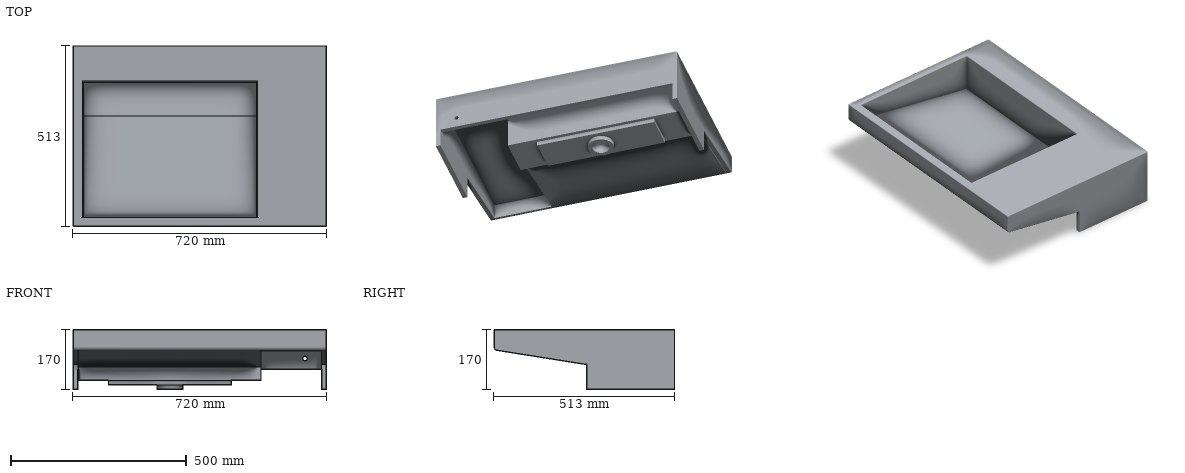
import cadquery as cq
import math


width = 720.0
depth = 513.0
height = 170.0

panel_thickness = 14.0
lip_thickness = 15.0
leg_depth = 250.0
notch_height = 99.0
lip_height = 57.5
lip_radius = 10.0
edge_radius = 2.0
apron_height = 113.0

mount_hole_diameter = 12.0
mount_hole_x = 659.0
mount_hole_z = -82.0

bowl_left = 16.0
bowl_width = 518.5
bowl_wall = 10.0
bowl_back = -90.0
bowl_floor_thickness = 9.0
bowl_floor_radius = 3.0
trough_front_height = 106.0
trough_height = 144.0

pad_width = 349.0
pad_setback = 10.0
pad_thickness = 13.0
spigot_diameter = 74.0
bore_diameter = 50.0

plate_thickness = 3.0
plate_gap = 3.5

slope = (notch_height - lip_height) / (depth - leg_depth)
slope_stretch = math.hypot(1, slope)
bowl_front = lip_thickness - depth
trough_front = -leg_depth + (trough_front_height - notch_height) / slope
pocket_left = bowl_left + bowl_wall
pocket_width = bowl_width - 2 * bowl_wall
pocket_front = bowl_front + bowl_wall
pocket_back = bowl_back - bowl_wall
drain_x = bowl_left + bowl_width / 2
drain_y = (trough_front + bowl_back) / 2
trough_depth = bowl_back - trough_front


def slanted_z(y, offset=0.0):
    """Height at y of a plane lying `offset` above the slanted underside, measured square to it."""
    return -lip_height - slope * (y + depth) + offset * slope_stretch


def extrude_along_x(points, start, length):
    """Solid with a (Y, Z) outline, running from x = start to x = start + length."""
    return cq.Workplane("YZ", origin=(start, 0, 0)).polyline(points).close().extrude(length)


def box(left, front, bottom, size_x, size_y, size_z):
    corner = (left, front, bottom)
    return cq.Workplane("XY", origin=corner).box(size_x, size_y, size_z, centered=False)


def fillet_edges_near(body, points, radius):
    """Round the edge of `body` that lies nearest to each point."""
    edges = [body.edges(cq.selectors.NearestToPointSelector(point)).val() for point in points]
    return body.newObject(edges).fillet(radius)


def make_casing():
    outline = [
        (0, 0),
        (-depth, 0),
        (-depth, -lip_height),
        (-leg_depth, -notch_height),
        (-leg_depth, -height),
        (0, -height),
    ]
    casing = extrude_along_x(outline, 0, width)
    casing = fillet_edges_near(casing, [(width / 2, -depth, -lip_height)], lip_radius)

    soft_points = [(width / 2, -depth, 0)]
    arc_inset = lip_radius / 3
    for x in (0, width):
        soft_points.append((x, -depth / 2, 0))
        soft_points.append((x, -depth, -lip_height / 2))
        soft_points.append((x, -depth + arc_inset, -lip_height + arc_inset))
        soft_points.append((x, -(depth + leg_depth) / 2, -(lip_height + notch_height) / 2))
    casing = fillet_edges_near(casing, soft_points, edge_radius)

    inner_width = width - 2 * panel_thickness
    hollow = box(
        panel_thickness,
        bowl_front,
        -height,
        inner_width,
        depth - lip_thickness - panel_thickness,
        height - panel_thickness,
    )
    below_apron = box(
        panel_thickness, -panel_thickness, -height, inner_width, panel_thickness, height - apron_height
    )
    return casing.cut(hollow).cut(below_apron)


def make_bowl_block():
    outline = [
        (bowl_front, -panel_thickness),
        (bowl_front, slanted_z(bowl_front)),
        (trough_front, -trough_front_height),
        (trough_front, -trough_height),
        (bowl_back, -trough_height),
        (bowl_back, -panel_thickness),
    ]
    return extrude_along_x(outline, bowl_left, bowl_width)


def make_pocket():
    """Space inside the bowl: a slanted floor that drops into the trough at the rear.

    The sides of the floor and the upright rear corners are rounded.
    """
    trough_inner_front = trough_front + bowl_wall
    trough_inner_bottom = -trough_height + bowl_wall
    outline = [
        (pocket_front, 0),
        (pocket_front, slanted_z(pocket_front, bowl_floor_thickness)),
        (trough_inner_front, slanted_z(trough_inner_front, bowl_floor_thickness)),
        (trough_inner_front, trough_inner_bottom),
        (pocket_back, trough_inner_bottom),
        (pocket_back, 0),
    ]
    pocket = extrude_along_x(outline, pocket_left, pocket_width)

    floor_y = (pocket_front + trough_inner_front) / 2
    floor_z = slanted_z(floor_y, bowl_floor_thickness)
    sides = (pocket_left, pocket_left + pocket_width)
    floor_points = [(x, floor_y, floor_z) for x in sides]
    upright_points = [(x, pocket_back, trough_inner_bottom / 2) for x in sides]
    pocket = fillet_edges_near(pocket, floor_points, bowl_floor_radius)
    return fillet_edges_near(pocket, upright_points, edge_radius)


def round_pocket_rim(basin):
    """Round the left, right and rear edges of the pocket mouth."""
    middle_y = (pocket_front + pocket_back) / 2
    rim_points = [
        (pocket_left, middle_y, 0),
        (pocket_left + pocket_width, middle_y, 0),
        (drain_x, pocket_back, 0),
    ]
    return fillet_edges_near(basin, rim_points, edge_radius)


def make_drain():
    pad_bottom = -trough_height - pad_thickness
    pad = box(
        drain_x - pad_width / 2,
        trough_front + pad_setback,
        pad_bottom,
        pad_width,
        trough_depth - 2 * pad_setback,
        pad_thickness,
    )
    spigot_plane = cq.Workplane("XY", origin=(drain_x, drain_y, -height))
    spigot = spigot_plane.circle(spigot_diameter / 2).extrude(height + pad_bottom)
    return pad.union(spigot)


def make_basin():
    basin = make_casing().union(make_bowl_block()).cut(make_pocket())
    basin = round_pocket_rim(basin)
    basin = basin.union(make_drain())

    bore_plane = cq.Workplane("XY", origin=(drain_x, drain_y, -height))
    bore = bore_plane.circle(bore_diameter / 2).extrude(height - trough_height + bowl_wall)

    hole_plane = cq.Workplane("XZ", origin=(mount_hole_x, 0, mount_hole_z))
    mount_hole = hole_plane.circle(mount_hole_diameter / 2).extrude(panel_thickness)
    return basin.cut(bore).cut(mount_hole)


def make_drip_plate():
    back = pocket_back - plate_gap
    top_offset = bowl_floor_thickness + plate_thickness
    outline = [
        (pocket_front, slanted_z(pocket_front, bowl_floor_thickness)),
        (back, slanted_z(back, bowl_floor_thickness)),
        (back, slanted_z(back, top_offset)),
        (pocket_front, slanted_z(pocket_front, top_offset)),
    ]
    return extrude_along_x(outline, pocket_left + plate_gap, pocket_width - 2 * plate_gap)


basin = make_basin()
drip_plate = make_drip_plate()

result = cq.Compound.makeCompound([basin.solids().val(), drip_plate.val()])